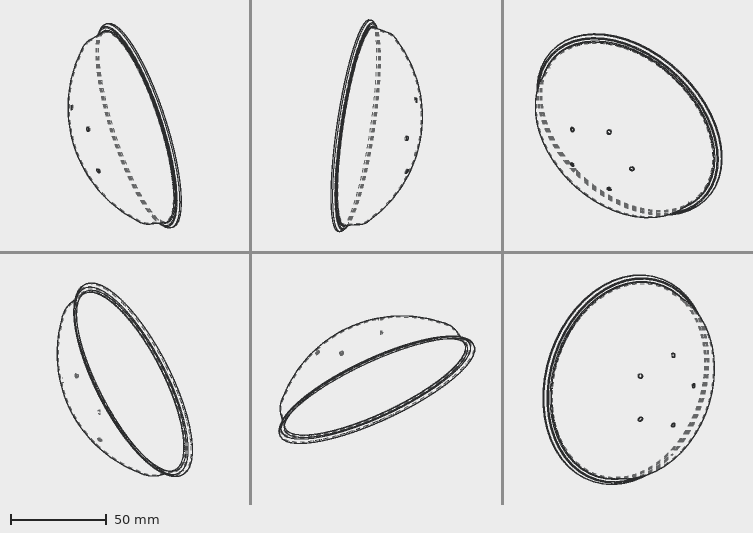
import cadquery as cq
import math

rim_radius = 56.0
height = 35.3
sheet = 0.7

rim_lip = sheet * math.sqrt(2)
bevel_radius = 54.9
bevel_depth = rim_lip + rim_radius - bevel_radius
flange_radius = 54.2
rim_depth = 2.4
neck_radius = 52.5
neck_chamfer = 0.5
neck_depth = rim_depth + neck_chamfer

wall_end_radius = 51.1
wall_end_depth = 9.4
cap_edge_radius = 48.5
cap_edge_depth = 14.5
shoulder_bulge = 0.62

hole_count = 5
hole_diameter = 2.2
hole_circle_radius = 19.9

cap_rise = height - cap_edge_depth
cap_sphere_radius = (cap_edge_radius**2 + cap_rise**2) / (2 * cap_rise)
cap_center_depth = height - cap_sphere_radius


def cap_point(radius, sphere_radius):
    """Point on a sphere concentric with the cap, at a distance from the axis."""
    return (radius, -cap_center_depth - math.sqrt(sphere_radius**2 - radius**2))


def shoulder_middle(start, end):
    """Middle of the shoulder arc, bulging outwards from its chord."""
    run = start[0] - end[0]
    drop = start[1] - end[1]
    chord = math.hypot(run, drop)
    return (
        (start[0] + end[0]) / 2 + shoulder_bulge * drop / chord,
        (start[1] + end[1]) / 2 - shoulder_bulge * run / chord,
    )


def make_shell():
    """Revolve the sheet section, outer skin first and inner skin back."""
    wall_end = (wall_end_radius, -wall_end_depth)
    cap_edge = (cap_edge_radius, -cap_edge_depth)
    inner_wall_end = (wall_end_radius - sheet, -wall_end_depth)
    inner_sphere_radius = cap_sphere_radius - sheet
    cap_edge_scale = inner_sphere_radius / cap_sphere_radius
    inner_edge_radius = cap_edge_radius * cap_edge_scale
    inner_cap_edge = cap_point(inner_edge_radius, inner_sphere_radius)
    inner_flange_depth = rim_depth - sheet
    section = (
        cq.Workplane("XY")
        .moveTo(rim_radius, 0)
        .lineTo(rim_radius, -rim_lip)
        .lineTo(bevel_radius, -bevel_depth)
        .lineTo(flange_radius, -rim_depth)
        .lineTo(neck_radius + neck_chamfer, -rim_depth)
        .lineTo(neck_radius, -neck_depth)
        .lineTo(*wall_end)
        .threePointArc(shoulder_middle(wall_end, cap_edge), cap_edge)
        .threePointArc(cap_point(cap_edge_radius / 2, cap_sphere_radius), (0, -height))
        .lineTo(0, sheet - height)
        .threePointArc(cap_point(inner_edge_radius / 2, inner_sphere_radius), inner_cap_edge)
        .threePointArc(shoulder_middle(inner_wall_end, inner_cap_edge), inner_wall_end)
        .lineTo(neck_radius - sheet, -neck_depth)
        .lineTo(neck_radius, -inner_flange_depth)
        .lineTo(rim_radius - inner_flange_depth, -inner_flange_depth)
        .close()
    )
    return section.revolve(360, (0, 0, 0), (0, 1, 0))


def make_holes():
    """Straight drills parallel to the dome axis; the first lies on +X."""
    return (
        cq.Workplane("XZ")
        .polarArray(hole_circle_radius, 0, 360, hole_count)
        .circle(hole_diameter / 2)
        .extrude(height)
    )


result = make_shell().cut(make_holes())